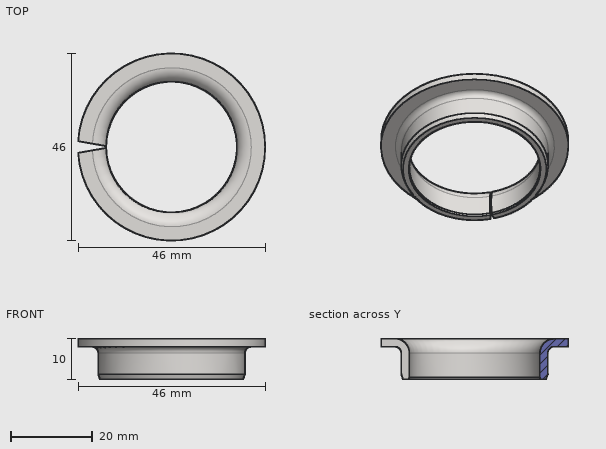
import cadquery as cq
import math

flange_radius = 23.0
flange_thickness = 2.02
height = 10.0
bore_radius = 16.0
barrel_radius = bore_radius + flange_thickness
underside_fillet = 1.45
mouth_radius = underside_fillet + flange_thickness
chamfer_angle = math.radians(20)
outer_chamfer_height = 1.25
bore_chamfer_height = 0.5
split_apex_radius = 14.95
split_half_angle = math.radians(10)

flange_bottom = height - flange_thickness
outer_chamfer_inset = outer_chamfer_height * math.tan(chamfer_angle)
bore_chamfer_inset = bore_chamfer_height * math.tan(chamfer_angle)


def ring_body():
    """Revolve the section: flared bore, flange, filleted neck and barrel chamfered inside and out."""
    diagonal = math.sqrt(0.5)
    round_centre_radius = bore_radius + mouth_radius
    round_centre_z = height - mouth_radius
    mouth_mid = (
        round_centre_radius - mouth_radius * diagonal,
        round_centre_z + mouth_radius * diagonal,
    )
    neck_mid = (
        round_centre_radius - underside_fillet * diagonal,
        round_centre_z + underside_fillet * diagonal,
    )
    section = (
        cq.Workplane("XZ")
        .moveTo(bore_radius + bore_chamfer_inset, 0)
        .lineTo(bore_radius, bore_chamfer_height)
        .lineTo(bore_radius, round_centre_z)
        .threePointArc(mouth_mid, (round_centre_radius, height))
        .lineTo(flange_radius, height)
        .lineTo(flange_radius, flange_bottom)
        .lineTo(round_centre_radius, flange_bottom)
        .threePointArc(neck_mid, (barrel_radius, round_centre_z))
        .lineTo(barrel_radius, outer_chamfer_height)
        .lineTo(barrel_radius - outer_chamfer_inset, 0)
        .close()
    )
    return section.revolve(360, (0, 0, 0), (0, 1, 0)).rotate((0, 0, 0), (0, 0, 1), 180)


def split_wedge():
    """Full-height wedge that widens outward from its apex inside the bore."""
    wedge_end = flange_radius + flange_thickness
    half_width = (wedge_end - split_apex_radius) * math.tan(split_half_angle)
    return (
        cq.Workplane("XY")
        .polyline([(-split_apex_radius, 0), (-wedge_end, half_width), (-wedge_end, -half_width)])
        .close()
        .extrude(height)
    )


result = ring_body().cut(split_wedge())